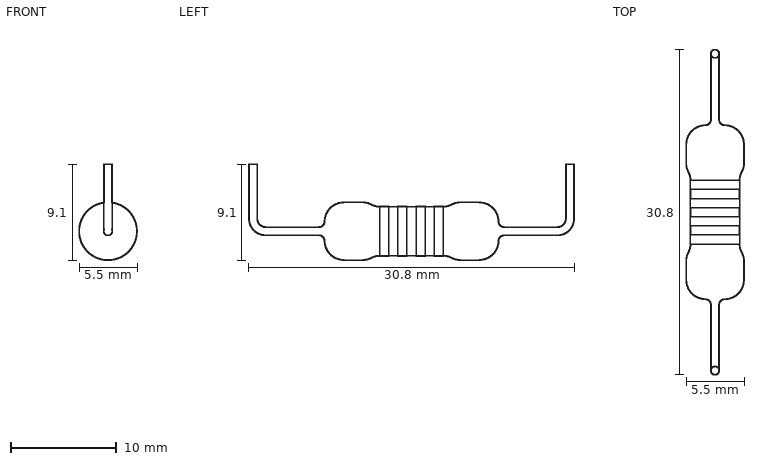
import cadquery as cq
import math


body_length = 16.5
cap_diameter = 5.5
waist_diameter = 4.67
cap_inner_end = 4.6

band_diameter = 4.7
band_count = 4
waist_length = 6.04
band_width = waist_length / (2 * band_count - 1)

lead_diameter = 0.8
lead_spacing = 30.0
lead_top = 6.35
bend_radius = 1.2
lead_fillet = 0.5

half_body = body_length / 2
half_waist = waist_length / 2
cap_radius = cap_diameter / 2
waist_radius = waist_diameter / 2
lead_radius = lead_diameter / 2

dome_radius = cap_radius - lead_radius - lead_fillet


def cap_profile():
    """Half of the +Y cap's section in the XY plane, from the end of the waist to the lead."""
    diagonal = math.sqrt(0.5)
    dome_start = half_body - dome_radius
    fillet_foot_x = lead_radius + lead_fillet
    fillet_end = half_body + lead_fillet

    shoulder_x = (waist_radius + cap_radius) / 2
    shoulder_y = (half_waist + cap_inner_end) / 2
    rise = shoulder_x - waist_radius
    run = shoulder_y - half_waist
    shoulder_radius = (rise**2 + run**2) / (2 * rise)

    return (
        cq.Workplane("XY")
        .moveTo(0, half_waist)
        .lineTo(waist_radius, half_waist)
        .radiusArc((shoulder_x, shoulder_y), shoulder_radius)
        .tangentArcPoint((cap_radius, cap_inner_end), relative=False)
        .lineTo(cap_radius, dome_start)
        .threePointArc(
            (fillet_foot_x + dome_radius * diagonal, dome_start + dome_radius * diagonal),
            (fillet_foot_x, half_body),
        )
        .threePointArc(
            (fillet_foot_x - lead_fillet * diagonal, fillet_end - lead_fillet * diagonal),
            (lead_radius, fillet_end),
        )
        .lineTo(0, fillet_end)
        .close()
    )


def make_cylinder(diameter, start_y, length):
    """Solid cylinder about the body axis, running towards +Y from start_y."""
    start_plane = cq.Plane(origin=(0, start_y, 0), xDir=(1, 0, 0), normal=(0, 1, 0))
    return cq.Workplane(start_plane).circle(diameter / 2).extrude(length)


def make_body():
    cap = cap_profile().revolve(360, (0, 0, 0), (0, 1, 0))
    waist = make_cylinder(waist_diameter, -half_waist, waist_length)
    return waist.union(cap).union(cap.mirror("XZ"))


def make_lead():
    """Lead on the +Y side, from mid-length of the body out to the bend and up to its tip."""
    lead_y = lead_spacing / 2
    path = (
        cq.Workplane("YZ")
        .lineTo(lead_y - bend_radius, 0)
        .tangentArcPoint((lead_y, bend_radius), relative=False)
        .lineTo(lead_y, lead_top)
    )
    return cq.Workplane("XZ").circle(lead_radius).sweep(path)


result = make_body()
for band_index in range(band_count):
    band_start = -half_waist + 2 * band_index * band_width
    result = result.union(make_cylinder(band_diameter, band_start, band_width))
lead = make_lead()
result = result.union(lead).union(lead.mirror("XZ"))